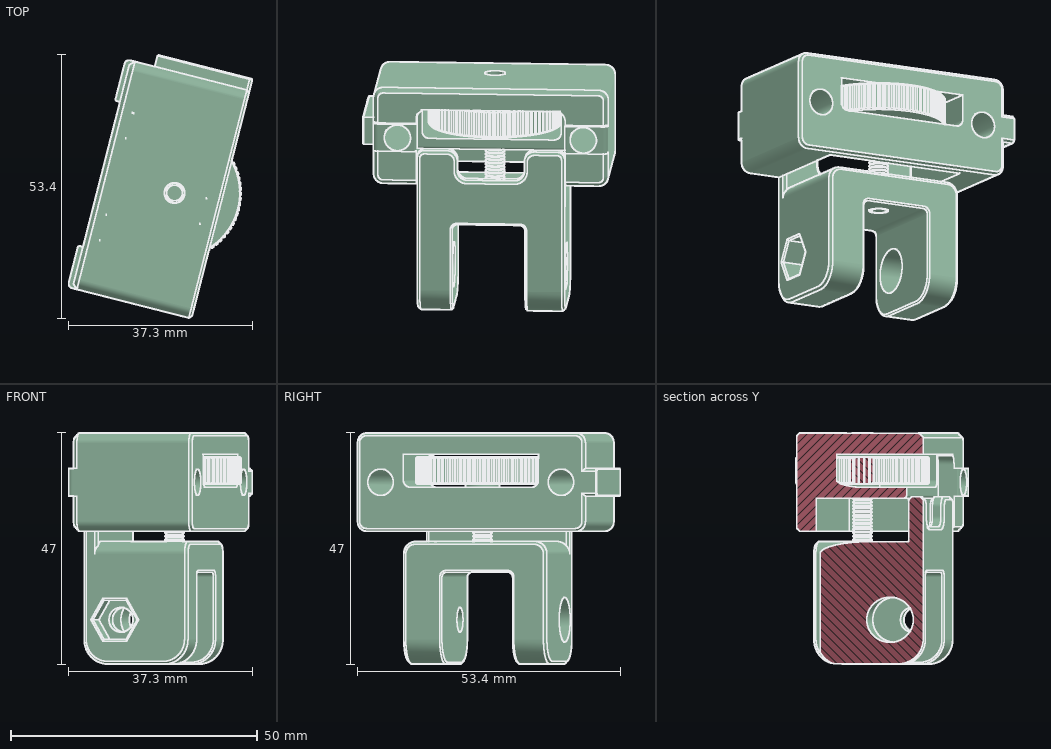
import cadquery as cq
import math

ASSEMBLY_YAW = -14.3

HOUSING_LENGTH = 47.8
HOUSING_LEFT = -15.3
HOUSING_RIGHT = 9.65
HOUSING_BOTTOM = 26.95
HOUSING_TOP = 47.0
HOUSING_END_RADIUS = 2.05
HOUSING_LEFT_CHAMFER = 0.95
HOUSING_RIGHT_CHAMFER = 0.6

KEY_HEIGHT = 5.65
KEY_MID_Z = 36.95
END_KEY_LEFT = -10.25
END_KEY_REACH = 2.45
END_KEY_TIP_CHAMFER = 0.2
SIDE_KEY_REACH = 1.0
SIDE_KEY_ROOT = 2.15
SIDE_KEY_OUTER_RADIUS = 1.0
SIDE_KEY_INNER_RADIUS = 0.45
BOLT_HOLE_DIAMETER = 5.35
BOLT_HOLE_OFFSET = 18.9

YOKE_WIDTH = 30.0
YOKE_LEFT = -15.25
YOKE_RIGHT = 6.5
YOKE_TOP = 24.95
YOKE_TOP_RADIUS = 2.5
YOKE_FOOT_RADIUS = 5.0
YOKE_CHAMFER = 0.6
PLATE_THICKNESS = 2.95
PLATE_TOP = 34.0
NOTCH_WIDTH = 13.65
NOTCH_FLOOR = 27.9
PLATE_CORNER_RADIUS = 1.5
NOTCH_RADIUS = 2.05
LEG_GAP_MIN_Y = -6.95
LEG_GAP_MAX_Y = 7.85
LEG_GAP_TOP = 18.7
LEG_GAP_RADIUS = 1.0
LEG_GAP_CHAMFER = 0.4
AXLE_X = -8.7
AXLE_Z = 9.0
AXLE_HOLE_DIAMETER = 5.0
AXLE_HEAD_DIAMETER = 9.1
NUT_ACROSS_FLATS = 8.0
NUT_DEPTH = 5.1
NUT_CHAMFER = 0.3

YOKE_CLEARANCE = 0.15
POCKET_TOP = 33.7
POCKET_LIP_RADIUS = 0.6
RECESS_DEPTH = 3.3
RECESS_RADIUS = 2.05
WINDOW_WIDTH = 28.3
WINDOW_FLOOR = 35.9
WINDOW_TOP = 42.6
WINDOW_FLOOR_RADIUS = 1.5

SCREW_DIAMETER = 3.95
THREAD_DEPTH = 0.4
THREAD_PITCH = 0.7
SCREW_HOLE_DIAMETER = 4.15

WHEEL_RADIUS = 13.55
WHEEL_BOTTOM = 36.5
WHEEL_TOP = 42.1
WHEEL_CHAMFER = 0.3
KNURL_COUNT = 80
KNURL_DEPTH = 0.3
KNURL_TIP_SHARE = 0.4
HUB_DIAMETER = 7.0


def block(x_min, x_max, y_min, y_max, z_min, z_max):
    """Box between the given limits."""
    size = (x_max - x_min, y_max - y_min, z_max - z_min)
    return cq.Workplane("XY").box(*size, centered=False).translate((x_min, y_min, z_min))


def rod_along_z(diameter, z_min, z_max):
    """Cylinder on the screw axis."""
    return cq.Workplane("XY").workplane(offset=z_min).circle(diameter / 2).extrude(z_max - z_min)


def rod_along_y(diameter, y_min, y_max):
    """Cylinder on the axle axis."""
    plane = cq.Plane(origin=(AXLE_X, y_min, AXLE_Z), xDir=(1, 0, 0), normal=(0, 1, 0))
    return cq.Workplane(plane).circle(diameter / 2).extrude(y_max - y_min)


HALF_LENGTH = HOUSING_LENGTH / 2
HALF_RECESS = YOKE_WIDTH / 2 + YOKE_CLEARANCE
KEY_BOTTOM = KEY_MID_Z - KEY_HEIGHT / 2
KEY_TOP = KEY_MID_Z + KEY_HEIGHT / 2
SIDE_KEY_LEFT = HOUSING_LEFT - SIDE_KEY_REACH


def housing_shell():
    """Solid block with rounded ends and bevelled long sides."""
    shell = block(
        HOUSING_LEFT, HOUSING_RIGHT, -HALF_LENGTH, HALF_LENGTH, HOUSING_BOTTOM, HOUSING_TOP
    )
    shell = shell.edges("|X").fillet(HOUSING_END_RADIUS)
    shell = shell.faces("<X").edges().chamfer(HOUSING_LEFT_CHAMFER)
    return shell.faces(">X").edges().chamfer(HOUSING_RIGHT_CHAMFER)


def end_key():
    """Key on the +Y end, flush with the right face and bevelled like it."""
    key = block(
        END_KEY_LEFT, HOUSING_RIGHT, 0, HALF_LENGTH + END_KEY_REACH, KEY_BOTTOM, KEY_TOP
    )
    key = key.edges("|Y and >X").chamfer(HOUSING_RIGHT_CHAMFER)
    return key.faces(">Y").edges().chamfer(END_KEY_TIP_CHAMFER)


def side_key():
    """Key on the left face, from the yoke recess to the +Y end of the housing."""
    key = block(
        SIDE_KEY_LEFT, HOUSING_LEFT + SIDE_KEY_ROOT, HALF_RECESS, HALF_LENGTH, KEY_BOTTOM, KEY_TOP
    )
    key = key.edges("|Z and <X and >Y").fillet(SIDE_KEY_OUTER_RADIUS)
    return key.edges("|Z and <X and <Y").fillet(SIDE_KEY_INNER_RADIUS)


def yoke_room():
    """Pocket under the housing and the recess in its left face, where the yoke slides."""
    pocket = block(
        HOUSING_LEFT, YOKE_RIGHT + YOKE_CLEARANCE, -HALF_RECESS, HALF_RECESS, HOUSING_BOTTOM, POCKET_TOP
    )
    recess = block(
        SIDE_KEY_LEFT, HOUSING_LEFT + RECESS_DEPTH, -HALF_RECESS, HALF_RECESS, HOUSING_BOTTOM, WINDOW_TOP
    )
    room = pocket.union(recess.edges("|X and >Z").fillet(RECESS_RADIUS))
    lip = cq.selectors.NearestToPointSelector((HOUSING_LEFT + RECESS_DEPTH, 0, POCKET_TOP))
    return room.edges(lip).fillet(POCKET_LIP_RADIUS)


def wheel_window():
    """Slot across the housing that leaves the wheel's rim free on both sides."""
    half_width = WINDOW_WIDTH / 2
    window = block(HOUSING_LEFT, HOUSING_RIGHT, -half_width, half_width, WINDOW_FLOOR, WINDOW_TOP)
    return window.edges("|X and <Z").fillet(WINDOW_FLOOR_RADIUS)


def bolt_holes():
    """Two holes through the housing and its side keys."""
    return (
        cq.Workplane("YZ", origin=(SIDE_KEY_LEFT, 0, KEY_MID_Z))
        .pushPoints([(-BOLT_HOLE_OFFSET, 0), (BOLT_HOLE_OFFSET, 0)])
        .circle(BOLT_HOLE_DIAMETER / 2)
        .extrude(HOUSING_RIGHT - SIDE_KEY_LEFT)
    )


def make_housing():
    key = side_key()
    body = housing_shell().union(end_key()).union(key).union(key.mirror("XZ"))
    body = body.cut(yoke_room()).cut(wheel_window()).cut(bolt_holes())
    return body.cut(rod_along_z(SCREW_HOLE_DIAMETER, HOUSING_BOTTOM, HOUSING_TOP))


def yoke_block():
    """Part of the yoke below the housing, with its long top edges rounded."""
    half_width = YOKE_WIDTH / 2
    body = block(YOKE_LEFT, YOKE_RIGHT, -half_width, half_width, 0, YOKE_TOP)
    return body.edges("|X and >Z").fillet(YOKE_TOP_RADIUS)


def yoke_plate():
    """Upright plate with a rounded notch for the screw, bevelled on its inner face."""
    half_width = YOKE_WIDTH / 2
    half_notch = NOTCH_WIDTH / 2
    profile = [
        (-half_width, 0),
        (half_width, 0),
        (half_width, PLATE_TOP),
        (half_notch, PLATE_TOP),
        (half_notch, NOTCH_FLOOR),
        (-half_notch, NOTCH_FLOOR),
        (-half_notch, PLATE_TOP),
        (-half_width, PLATE_TOP),
    ]
    plate = cq.Workplane("YZ", origin=(YOKE_LEFT, 0, 0)).polyline(profile).close().extrude(PLATE_THICKNESS)
    notch_zone = cq.selectors.BoxSelector(
        (YOKE_LEFT - 0.55, -NOTCH_WIDTH, YOKE_TOP), (YOKE_RIGHT, NOTCH_WIDTH, PLATE_TOP + 0.55)
    )
    plate = plate.edges("|X").edges(notch_zone).fillet(NOTCH_RADIUS)
    plate = plate.edges("|X and >Z").edges("<Y or >Y").fillet(PLATE_CORNER_RADIUS)
    return plate.faces(">X").edges().chamfer(YOKE_CHAMFER)


def leg_gap():
    """Opening between the two legs."""
    gap = block(YOKE_LEFT, YOKE_RIGHT, LEG_GAP_MIN_Y, LEG_GAP_MAX_Y, 0, LEG_GAP_TOP)
    return gap.edges("|X and >Z").fillet(LEG_GAP_RADIUS)


def outline_edges(body, y_min, y_max, z_max):
    """Edges between the given limits that run round the yoke's end faces and its foot."""
    zone = cq.selectors.BoxSelector(
        (YOKE_LEFT - 0.55, y_min, -0.55), (YOKE_RIGHT + 0.55, y_max, z_max), boundingbox=True
    )
    foot_zone = cq.selectors.BoxSelector(
        (YOKE_LEFT - 0.55, y_min, -0.55), (YOKE_RIGHT + 0.55, y_max, YOKE_FOOT_RADIUS)
    )
    end_faces = body.faces("<X or >X").edges("not(|Y and <Z)")
    foot = body.faces("|Y").edges(foot_zone).edges("not |Z")
    return end_faces.add(foot).edges(zone)


def nut_pocket():
    """Hexagonal pocket with a bevelled mouth in the outer face of the -Y leg."""
    corner_diameter = NUT_ACROSS_FLATS / math.cos(math.pi / 6)
    mouth_diameter = corner_diameter + 2 * NUT_CHAMFER / math.cos(math.pi / 6)
    plane = cq.Plane(origin=(AXLE_X, -YOKE_WIDTH / 2, AXLE_Z), xDir=(1, 0, 0), normal=(0, -1, 0))
    pocket = cq.Workplane(plane).polygon(6, corner_diameter).extrude(-NUT_DEPTH)
    mouth = (
        cq.Workplane(plane)
        .polygon(6, mouth_diameter)
        .workplane(offset=-NUT_CHAMFER)
        .polygon(6, corner_diameter)
        .loft()
    )
    return pocket.union(mouth)


def make_yoke():
    half_width = YOKE_WIDTH / 2
    body = yoke_block().union(yoke_plate())
    body = body.edges("|Y and <Z").fillet(YOKE_FOOT_RADIUS)
    body = outline_edges(body, -YOKE_WIDTH, YOKE_WIDTH, PLATE_TOP + 0.55).chamfer(YOKE_CHAMFER)
    body = body.cut(leg_gap())
    body = outline_edges(body, LEG_GAP_MIN_Y - 0.55, LEG_GAP_MAX_Y + 0.55, LEG_GAP_TOP + 0.55).chamfer(LEG_GAP_CHAMFER)
    body = body.cut(rod_along_y(AXLE_HOLE_DIAMETER, -half_width, LEG_GAP_MIN_Y))
    body = body.cut(rod_along_y(AXLE_HEAD_DIAMETER, LEG_GAP_MAX_Y, half_width)).cut(nut_pocket())
    return body.cut(rod_along_z(SCREW_DIAMETER, LEG_GAP_TOP - 0.55, YOKE_TOP))


def make_screw():
    """Screw with ring-shaped threads and a bevelled top end."""
    crest = SCREW_DIAMETER / 2
    root = crest - THREAD_DEPTH
    bottom = LEG_GAP_TOP
    turns = int((WHEEL_BOTTOM - bottom) / THREAD_PITCH)
    profile = [(0, bottom), (root, bottom)]
    for turn in range(turns):
        start = bottom + turn * THREAD_PITCH
        profile.append((crest, start + THREAD_PITCH / 2))
        profile.append((root, start + THREAD_PITCH))
    profile += [
        (crest, profile[-1][1] + THREAD_DEPTH),
        (crest, WHEEL_TOP - THREAD_DEPTH),
        (root, WHEEL_TOP),
        (0, WHEEL_TOP),
    ]
    return cq.Workplane("XZ").polyline(profile).close().revolve(360, (0, 0, 0), (0, 1, 0))


def knurled_outline():
    """Corner points of the wheel's rim, one tooth after another."""
    step = 2 * math.pi / KNURL_COUNT
    half_tip = step * KNURL_TIP_SHARE / 2
    root_radius = WHEEL_RADIUS - KNURL_DEPTH
    points = []
    for tooth in range(KNURL_COUNT):
        middle = tooth * step
        for radius, angle in (
            (WHEEL_RADIUS, middle - half_tip),
            (WHEEL_RADIUS, middle + half_tip),
            (root_radius, middle + step / 2),
        ):
            points.append((radius * math.cos(angle), radius * math.sin(angle)))
    return points


def make_wheel():
    """Knurled wheel with bevelled rims and a hub that rests on the window's floor."""
    height = WHEEL_TOP - WHEEL_BOTTOM
    rim = cq.Workplane("XY").workplane(offset=WHEEL_BOTTOM).polyline(knurled_outline()).close().extrude(height)
    envelope = rod_along_z(2 * WHEEL_RADIUS, WHEEL_BOTTOM, WHEEL_TOP)
    envelope = envelope.faces("<Z or >Z").chamfer(WHEEL_CHAMFER)
    hub = rod_along_z(HUB_DIAMETER, WINDOW_FLOOR, WHEEL_BOTTOM)
    return rim.intersect(envelope).union(hub).cut(rod_along_z(SCREW_DIAMETER, WINDOW_FLOOR, WHEEL_TOP))


def turned(body):
    """The body's solid, turned about Z into the place it takes in the assembly."""
    return body.rotate((0, 0, 0), (0, 0, 1), ASSEMBLY_YAW).val()


housing = make_housing()
yoke = make_yoke()
screw = make_screw()
wheel = make_wheel()

result = cq.Compound.makeCompound([turned(housing), turned(yoke), turned(screw), turned(wheel)])